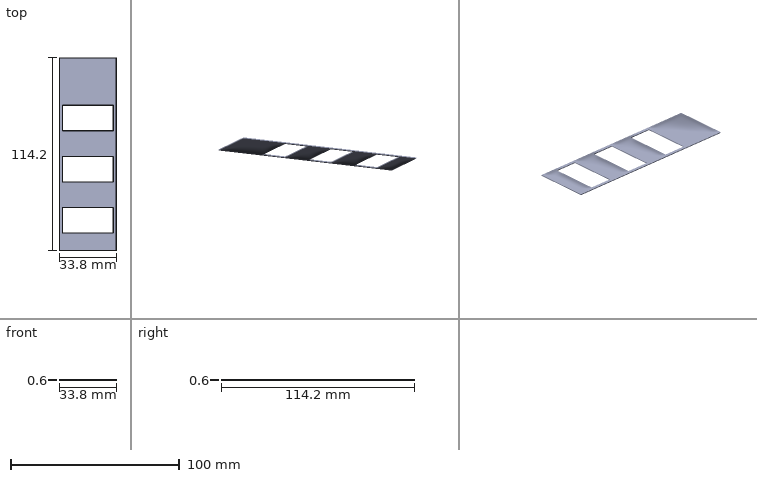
import cadquery as cq

plate_width = 33.8
plate_length = 114.2
plate_thickness = 0.6

window_count = 3
window_width = 30.0
window_length = 15.0
window_pitch = 30.3
first_window_margin = 10.5

first_window_y = -plate_length / 2 + first_window_margin + window_length / 2
window_centers = [(0, first_window_y + i * window_pitch) for i in range(window_count)]

plate = cq.Workplane("XY").box(plate_width, plate_length, plate_thickness)

windows = (
    cq.Workplane("XY")
    .pushPoints(window_centers)
    .box(window_width, window_length, 2 * plate_thickness)
)

result = plate.cut(windows)